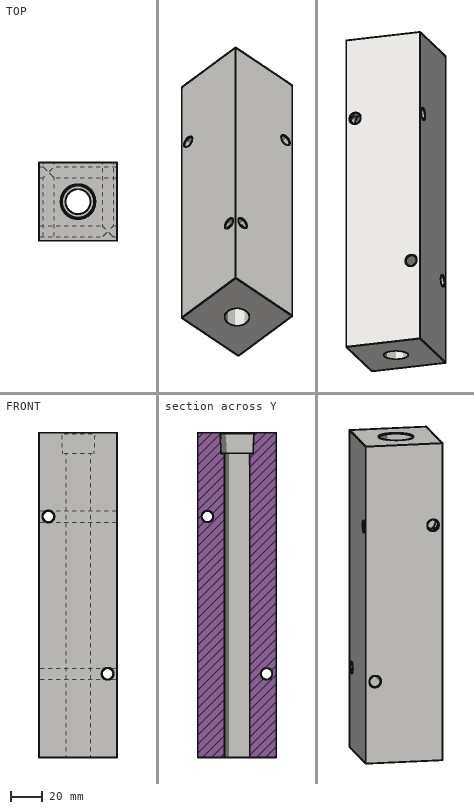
import cadquery as cq

height = 209.5
side = 50.7
edge_chamfer = 0.23

bore_diameter = 16.0
socket_mouth_diameter = 22.6
socket_top_diameter = 21.4
socket_bottom_diameter = 20.5
socket_depth = 13.5

cross_hole_diameter = 7.1
cross_hole_chamfer = 0.5
cross_hole_edge_distance = 6.3
cross_hole_end_distance = 54.0

cross_hole_offset = side / 2 - cross_hole_edge_distance
cross_hole_height = height / 2 - cross_hole_end_distance


def central_bore():
    """Cutter for the through bore and its tapered socket, about the Z axis."""
    top = height / 2
    mouth_radius = socket_mouth_diameter / 2
    top_radius = socket_top_diameter / 2
    bore_radius = bore_diameter / 2
    mouth_chamfer = mouth_radius - top_radius
    return (
        cq.Workplane("XZ")
        .moveTo(0, top)
        .lineTo(mouth_radius, top)
        .lineTo(top_radius, top - mouth_chamfer)
        .lineTo(socket_bottom_diameter / 2, top - socket_depth)
        .lineTo(bore_radius, top - socket_depth)
        .lineTo(bore_radius, -top)
        .lineTo(0, -top)
        .close()
        .revolve(360, (0, 0, 0), (0, 1, 0))
    )


def cross_hole():
    """Cutter for one cross hole along Z, centred on the origin and chamfered at both ends."""
    radius = cross_hole_diameter / 2
    mouth_radius = radius + cross_hole_chamfer
    end = side / 2
    return (
        cq.Workplane("XZ")
        .moveTo(0, -end)
        .lineTo(mouth_radius, -end)
        .lineTo(radius, -end + cross_hole_chamfer)
        .lineTo(radius, end - cross_hole_chamfer)
        .lineTo(mouth_radius, end)
        .lineTo(0, end)
        .close()
        .revolve(360, (0, 0, 0), (0, 1, 0))
    )


block = cq.Workplane("XY").box(side, side, height).edges().chamfer(edge_chamfer)
result = block.cut(central_bore())

hole_along_x = cross_hole().rotate((0, 0, 0), (0, 1, 0), 90)
hole_along_y = cross_hole().rotate((0, 0, 0), (1, 0, 0), 90)

for level in (-1, 1):
    offset = level * cross_hole_offset
    hole_z = level * cross_hole_height
    result = result.cut(hole_along_x.translate((0, offset, hole_z)))
    result = result.cut(hole_along_y.translate((-offset, 0, hole_z)))